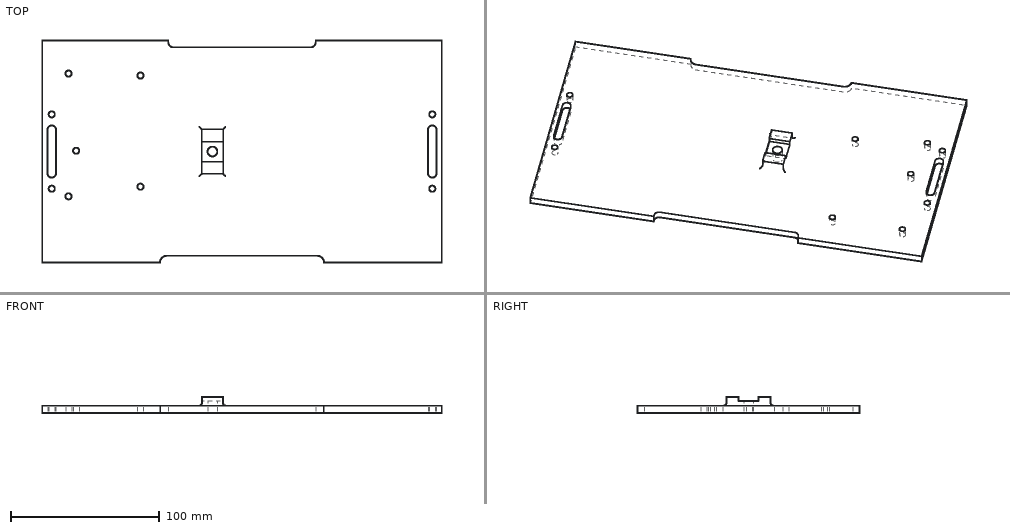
import cadquery as cq

plate_length = 270.0
plate_width = 150.0
plate_thickness = 5.0
total_height = 11.0

notch_depth = 4.5
back_notch_length = 99.4
back_notch_radius = 3.2
front_notch_length = 110.7
front_notch_radius = 4.5

slot_x = 128.5
slot_length = 35.0
slot_width = 5.7
slot_hole_y = 25.0

small_hole_diameter = 4.0
mounting_hole_points = [
    (-117.2, 52.6),
    (-117.2, -30.2),
    (-68.5, 51.3),
    (-68.5, -23.8),
    (-112.0, 0.5),
]

block_x = -20.0
block_length_x = 14.3
block_length_y = 30.0
block_height = total_height - plate_thickness
block_fillet = 2.0
channel_width = 13.5
channel_depth = 2.7
block_hole_diameter = 6.5


def notch(side, length, radius):
    """Edge notch with rounded inner corners; side is +1 for back, -1 for front."""
    cutter = cq.Workplane("XY").box(
        length, 2 * notch_depth, plate_thickness, centered=(True, True, False)
    )
    inner_edges = "<Y" if side > 0 else ">Y"
    cutter = cutter.faces(inner_edges).edges("|Z").fillet(radius)
    return cutter.translate((0, side * plate_width / 2, 0))


def flared_profile(plane, width, depth):
    """Upright profile whose sides sweep outward in concave arcs, extruded both ways."""
    half = width / 2
    foot = half + block_fillet
    arc_offset = block_fillet * (1 - 0.5 ** 0.5)
    return (
        cq.Workplane(plane)
        .moveTo(-foot, 0)
        .lineTo(foot, 0)
        .threePointArc((half + arc_offset, arc_offset), (half, block_fillet))
        .lineTo(half, block_height)
        .lineTo(-half, block_height)
        .lineTo(-half, block_fillet)
        .threePointArc((-half - arc_offset, arc_offset), (-foot, 0))
        .close()
        .extrude(depth, both=True)
    )


def raised_block():
    """Block with mitred fillets around its foot and a channel along X."""
    along_x = flared_profile("XZ", block_length_x, block_length_y)
    along_y = flared_profile("YZ", block_length_y, block_length_x)
    channel = cq.Workplane("XY").box(
        2 * block_length_x, channel_width, 2 * channel_depth
    ).translate((0, 0, block_height))
    block = along_x.intersect(along_y).cut(channel)
    return block.translate((block_x, 0, plate_thickness))


def through_holes(points, diameter):
    return cq.Workplane("XY").pushPoints(points).circle(diameter / 2).extrude(total_height)


plate = cq.Workplane("XY").box(
    plate_length, plate_width, plate_thickness, centered=(True, True, False)
)
plate = plate.cut(notch(1, back_notch_length, back_notch_radius))
plate = plate.cut(notch(-1, front_notch_length, front_notch_radius))

slots = (
    cq.Workplane("XY")
    .pushPoints([(-slot_x, 0), (slot_x, 0)])
    .slot2D(slot_length, slot_width, 90)
    .extrude(plate_thickness)
)
slot_hole_points = [(x, y) for x in (-slot_x, slot_x) for y in (-slot_hole_y, slot_hole_y)]

result = (
    plate.union(raised_block())
    .cut(slots)
    .cut(through_holes(mounting_hole_points + slot_hole_points, small_hole_diameter))
    .cut(through_holes([(block_x, 0)], block_hole_diameter))
)